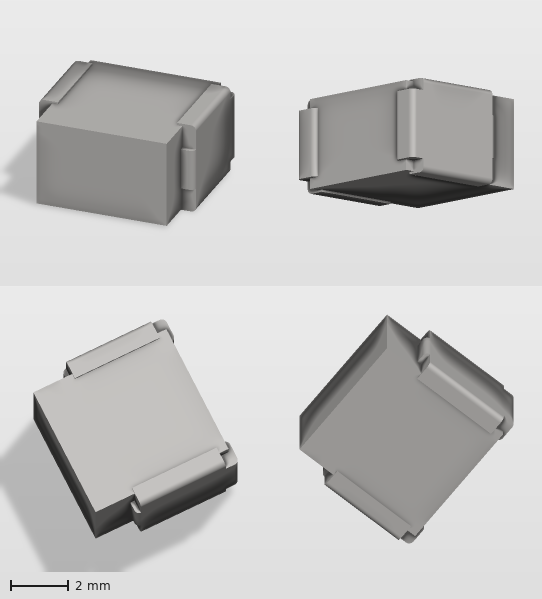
import cadquery as cq

TOTAL_WIDTH = 5.9
TOTAL_DEPTH = 5.37
TOTAL_HEIGHT = 3.36

CASE_WIDTH = 4.885
CASE_DEPTH = 5.19
CASE_HEIGHT = 3.2

BEND_RADIUS = 0.195
WRAP_DEPTH = 3.31
WRAP_SETBACK = 0.36
WRAP_REACH = 0.715
BACK_ARM_HEIGHT = 2.435
BACK_ARM_REACH = 0.915
FRONT_TAB_HEIGHT = 1.52
FRONT_TAB_PROJECTION = 0.165

OUTER_X = TOTAL_WIDTH / 2
BACK_ARM_Y = TOTAL_DEPTH - CASE_DEPTH
WRAP_BACK_Y = -WRAP_SETBACK
WRAP_FRONT_Y = WRAP_BACK_Y - WRAP_DEPTH
FRONT_TAB_Y = WRAP_FRONT_Y - FRONT_TAB_PROJECTION
END_THICKNESS = (TOTAL_WIDTH - CASE_WIDTH) / 2


def make_case():
    """Plain rectangular case."""
    return cq.Workplane("XY").box(CASE_WIDTH, CASE_DEPTH, CASE_HEIGHT).translate((0, -CASE_DEPTH / 2, 0))


def right_end_block(reach, front_y, back_y, height):
    """Block reaching inward from the +X end face, centred on Z."""
    depth = back_y - front_y
    center = (OUTER_X - reach / 2, front_y + depth / 2, 0)
    return cq.Workplane("XY").box(reach, depth, height).translate(center)


def make_right_terminal(case):
    """Solid +X terminal: top and bottom flanges, back arm and front tab."""
    wrap = right_end_block(WRAP_REACH, WRAP_FRONT_Y, WRAP_BACK_Y, TOTAL_HEIGHT)
    wrap = wrap.edges("|Y and >X").fillet(BEND_RADIUS)

    back_arm = right_end_block(BACK_ARM_REACH, WRAP_BACK_Y, BACK_ARM_Y, BACK_ARM_HEIGHT)
    back_arm = back_arm.edges("|Z and >Y").fillet(BEND_RADIUS)

    front_tab = right_end_block(END_THICKNESS, FRONT_TAB_Y, WRAP_FRONT_Y, FRONT_TAB_HEIGHT)
    corner_limit = right_end_block(WRAP_REACH, FRONT_TAB_Y, WRAP_BACK_Y, TOTAL_HEIGHT)
    corner_limit = corner_limit.edges("|Z and >X and <Y").fillet(BEND_RADIUS)
    gripping_part = wrap.union(front_tab).intersect(corner_limit)

    return gripping_part.union(back_arm).cut(case)


case = make_case()
right_terminal = make_right_terminal(case)
left_terminal = right_terminal.mirror("YZ")

result = cq.Compound.makeCompound([case.val(), right_terminal.val(), left_terminal.val()])